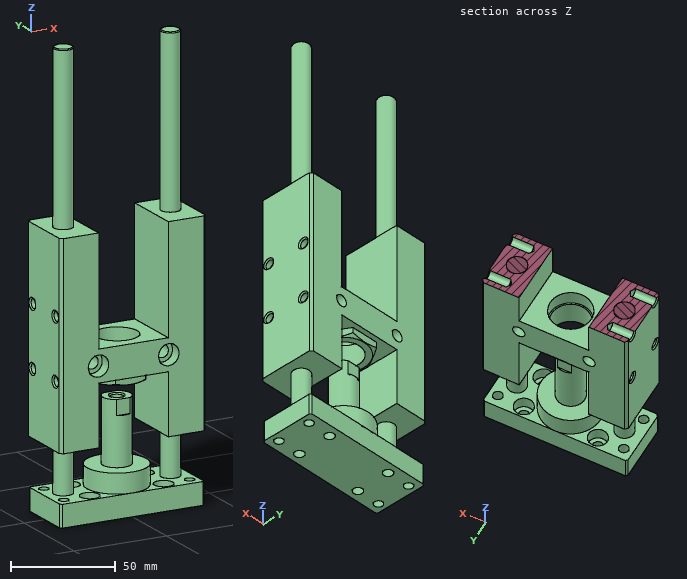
import cadquery as cq
import math

overall_width = 79.0
overall_height = 235.0
rod_spacing = 58.0
rod_diameter = 10.0
rod_positions = [(-rod_spacing / 2, 0), (rod_spacing / 2, 0)]

housing_depth = 34.0
housing_corner_chamfer = 1.5
housing_bottom = 37.5
housing_height = 107.5
leg_gap = 37.5
bridge_bottom = 70.0
bridge_thickness = 17.0
bridge_top = bridge_bottom + bridge_thickness

screw_spacing = 38.0
screw_diameter = 6.6
screw_head_diameter = 11.0
screw_head_depth = 6.5
screw_height = bridge_bottom + bridge_thickness / 2

side_hole_diameter = 4.92
side_hole_mouth = 6.4
side_hole_depth = 12.0
side_hole_spacing_y = 23.0
side_hole_spacing_z = 32.5
side_hole_centre_z = 88.5
drill_point_angle = 118.0

nut_across_flats = 28.0
nut_height = 4.5
nut_face_diameter = 27.5
nut_bevel_angle = 30.0
bore_diameter = 22.0
thread_diameter = 20.38
bore_depth = 8.0

plate_width = 78.0
plate_depth = 32.0
plate_thickness = 12.0
plate_corner_chamfer = 1.0
disc_diameter = 32.0
disc_thickness = 10.5
shaft_diameter = 15.0
shaft_top = 56.5
shaft_flats_width = 13.0
shaft_flats_height = 8.0
shaft_hole_diameter = 6.65
shaft_hole_mouth = 8.0
shaft_hole_depth = 16.0
rod_tip_chamfer = 0.5

plate_screw_spacing_x = 40.0
plate_screw_spacing_y = 20.0
plate_screw_diameter = 5.5
plate_head_diameter = 10.0
plate_head_depth = 6.6
pin_hole_diameter = 5.0
pin_hole_spacing_x = 68.0
pin_hole_spacing_y = 20.0


def blind_hole(diameter, mouth_diameter, depth):
    """Cutter along -Z from the origin: chamfered mouth, straight wall and conical drill point."""
    radius = diameter / 2
    mouth_radius = mouth_diameter / 2
    point_depth = radius / math.tan(math.radians(drill_point_angle / 2))
    return (
        cq.Workplane("XZ")
        .moveTo(0, 0)
        .lineTo(mouth_radius, 0)
        .lineTo(radius, radius - mouth_radius)
        .lineTo(radius, -depth)
        .lineTo(0, -depth - point_depth)
        .close()
        .revolve(360, (0, 0, 0), (0, 1, 0))
    )


def make_nut():
    """Hexagonal nut with its corners bevelled by a cone at the lower face."""
    across_corners = nut_across_flats / math.cos(math.radians(30))
    corner_radius = across_corners / 2
    face_radius = nut_face_diameter / 2
    bevel_height = (corner_radius - face_radius) * math.tan(math.radians(nut_bevel_angle))
    hexagon = cq.Workplane("XY").polygon(6, across_corners).extrude(nut_height)
    envelope = (
        cq.Workplane("XY")
        .circle(corner_radius)
        .extrude(nut_height)
        .faces("<Z")
        .chamfer(bevel_height, corner_radius - face_radius)
    )
    return hexagon.intersect(envelope).translate((0, 0, bridge_bottom - nut_height))


def make_housing():
    body = (
        cq.Workplane("XY", origin=(0, 0, housing_bottom))
        .rect(overall_width, housing_depth)
        .extrude(housing_height)
        .edges("|Z")
        .chamfer(housing_corner_chamfer)
    )
    housing_top = housing_bottom + housing_height
    for bottom, top in [(housing_bottom, bridge_bottom), (bridge_top, housing_top)]:
        gap = cq.Workplane("XY", origin=(0, 0, bottom)).rect(leg_gap, housing_depth).extrude(top - bottom)
        body = body.cut(gap)
    body = body.union(make_nut())

    top_plane = cq.Workplane("XY", origin=(0, 0, bridge_top))
    body = body.cut(top_plane.circle(bore_diameter / 2).extrude(-bore_depth))
    body = body.cut(top_plane.circle(thread_diameter / 2).extrude(-bridge_thickness - nut_height))

    guide_bores = (
        cq.Workplane("XY", origin=(0, 0, housing_bottom))
        .pushPoints(rod_positions)
        .circle(rod_diameter / 2)
        .extrude(housing_height)
    )
    body = body.cut(guide_bores)

    screw_points = [(-screw_spacing / 2, 0), (screw_spacing / 2, 0)]
    front_plane = cq.Workplane("XZ", origin=(0, -housing_depth / 2, screw_height)).pushPoints(screw_points)
    body = body.cut(front_plane.circle(screw_diameter / 2).extrude(-housing_depth))
    body = body.cut(front_plane.circle(screw_head_diameter / 2).extrude(-screw_head_depth))

    cutter = blind_hole(side_hole_diameter, side_hole_mouth, side_hole_depth)
    for side in (-1, 1):
        side_cutter = cutter.rotate((0, 0, 0), (0, 1, 0), side * 90)
        for y_side in (-1, 1):
            for z_side in (-1, 1):
                position = (
                    side * overall_width / 2,
                    y_side * side_hole_spacing_y / 2,
                    side_hole_centre_z + z_side * side_hole_spacing_z / 2,
                )
                body = body.cut(side_cutter.translate(position))
    return body


def make_shaft():
    """Coupling disc and shaft with two wrench flats and a threaded end hole."""
    shaft = cq.Workplane("XY").circle(shaft_diameter / 2).extrude(shaft_top)
    for side in (-1, 1):
        flat = (
            cq.Workplane("XY", origin=(0, side * shaft_flats_width, shaft_top))
            .rect(shaft_diameter, shaft_flats_width)
            .extrude(-shaft_flats_height)
        )
        shaft = shaft.cut(flat)
    end_hole = blind_hole(shaft_hole_diameter, shaft_hole_mouth, shaft_hole_depth)
    shaft = shaft.cut(end_hole.translate((0, 0, shaft_top)))
    disc = cq.Workplane("XY").circle(disc_diameter / 2).extrude(plate_thickness + disc_thickness)
    return shaft.union(disc)


def make_slide():
    plate = (
        cq.Workplane("XY")
        .rect(plate_width, plate_depth)
        .extrude(plate_thickness)
        .edges("|Z")
        .chamfer(plate_corner_chamfer)
    )
    top_plane = cq.Workplane("XY", origin=(0, 0, plate_thickness))
    screw_pattern = top_plane.rarray(plate_screw_spacing_x, plate_screw_spacing_y, 2, 2)
    plate = plate.cut(screw_pattern.circle(plate_screw_diameter / 2).extrude(-plate_thickness))
    plate = plate.cut(screw_pattern.circle(plate_head_diameter / 2).extrude(-plate_head_depth))
    pin_holes = (
        top_plane.rarray(pin_hole_spacing_x, pin_hole_spacing_y, 2, 2)
        .circle(pin_hole_diameter / 2)
        .extrude(-plate_thickness)
    )
    plate = plate.cut(pin_holes)
    rods = (
        top_plane.pushPoints(rod_positions)
        .circle(rod_diameter / 2)
        .extrude(overall_height - plate_thickness)
        .faces(">Z")
        .chamfer(rod_tip_chamfer)
    )
    return plate.union(make_shaft()).union(rods)


housing = make_housing()
slide = make_slide()

result = cq.Compound.makeCompound([housing.val(), slide.val()])